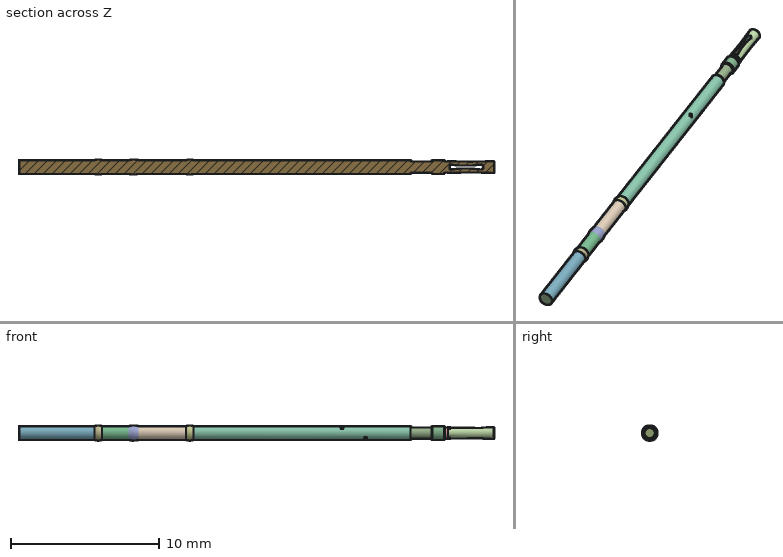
import cadquery as cq

TOTAL_LENGTH = 32.05
BARREL_END = 26.4
COLLAR_START = 27.8
COLLAR_END = 28.7
FORK_START = 28.92

BARREL_DIAMETER = 0.94
COLLAR_DIAMETER = 0.95
NECK_DIAMETER = 0.77
FORK_END_DIAMETER = 0.82
FORK_WAIST_DIAMETER = 0.75
CRIMP_DIAMETER = 1.05

COLLAR_CHAMFER = 0.06
TIP_CHAMFER = 0.06

CRIMP_RINGS = [(5.34, 0.48), (7.73, 0.7), (11.51, 0.48)]

VENTS = [(21.77, 1), (23.36, -1)]
VENT_DIAMETER = 0.2
VENT_DEPTH = 0.2
VENT_Y = -0.22

SLOT_START = 29.05
SLOT_END = 31.3
SLOT_WIDTH = 0.32
SLOT_PINCH_WIDTH = 0.16


def cylinder(start, end, diameter):
    """Cylinder along X between two stations."""
    return cq.Workplane("YZ", origin=(start, 0, 0)).circle(diameter / 2).extrude(end - start)


def make_crimp_ring(centre, width):
    """Ring with a crowned (arc) profile standing proud of the barrel."""
    barrel_radius = BARREL_DIAMETER / 2
    start = centre - width / 2
    end = centre + width / 2
    return (
        cq.Workplane("XZ")
        .moveTo(start, 0)
        .lineTo(start, barrel_radius)
        .threePointArc((centre, CRIMP_DIAMETER / 2), (end, barrel_radius))
        .lineTo(end, 0)
        .close()
        .revolve(360, (0, 0, 0), (1, 0, 0))
    )


def make_barrel():
    """Barrel with its crimp rings and vent holes."""
    barrel = cylinder(0, BARREL_END, BARREL_DIAMETER)
    for centre, width in CRIMP_RINGS:
        barrel = barrel.union(make_crimp_ring(centre, width))
    for vent_x, side in VENTS:
        barrel = barrel.cut(make_vent(vent_x, side))
    return barrel


def make_vent(vent_x, side):
    """Small blind hole drilled vertically into the top or bottom of the barrel."""
    return (
        cq.Workplane("XY", origin=(vent_x, VENT_Y, side * BARREL_DIAMETER / 2))
        .circle(VENT_DIAMETER / 2)
        .extrude(-side * VENT_DEPTH)
    )


def make_neck():
    """Neck between barrel and collar, flared by a fillet at both ends."""
    neck_radius = NECK_DIAMETER / 2
    barrel_fillet = BARREL_DIAMETER / 2 - neck_radius
    collar_fillet = COLLAR_DIAMETER / 2 - COLLAR_CHAMFER - neck_radius
    return (
        cq.Workplane("XZ")
        .moveTo(BARREL_END, 0)
        .lineTo(BARREL_END, neck_radius + barrel_fillet)
        .radiusArc((BARREL_END + barrel_fillet, neck_radius), -barrel_fillet)
        .lineTo(COLLAR_START - collar_fillet, neck_radius)
        .radiusArc((COLLAR_START, neck_radius + collar_fillet), -collar_fillet)
        .lineTo(COLLAR_START, 0)
        .close()
        .revolve(360, (0, 0, 0), (1, 0, 0))
    )


def make_collar():
    """Collar with chamfered ends and the groove between it and the fork."""
    collar = cylinder(COLLAR_START, COLLAR_END, COLLAR_DIAMETER).faces("<X or >X").chamfer(COLLAR_CHAMFER)
    groove_core = cylinder(COLLAR_END, FORK_START, NECK_DIAMETER)
    return collar.union(groove_core)


def make_fork():
    """Waisted round fork with a chamfered tip and a slot through its full height."""
    end_radius = FORK_END_DIAMETER / 2
    chamfer_start = TOTAL_LENGTH - TIP_CHAMFER
    waist_x = (FORK_START + chamfer_start) / 2
    fork = (
        cq.Workplane("XZ")
        .moveTo(FORK_START, 0)
        .lineTo(FORK_START, end_radius)
        .threePointArc((waist_x, FORK_WAIST_DIAMETER / 2), (chamfer_start, end_radius))
        .lineTo(TOTAL_LENGTH, end_radius - TIP_CHAMFER)
        .lineTo(TOTAL_LENGTH, 0)
        .close()
        .revolve(360, (0, 0, 0), (1, 0, 0))
    )
    return fork.cut(make_slot())


def make_slot():
    """Slot cutter with sides that curve in towards mid-length and a rounded tip end."""
    half_width = SLOT_WIDTH / 2
    half_pinch = SLOT_PINCH_WIDTH / 2
    round_start = SLOT_END - half_width
    pinch_x = (SLOT_START + round_start) / 2
    return (
        cq.Workplane("XY")
        .moveTo(SLOT_START, -half_width)
        .threePointArc((pinch_x, -half_pinch), (round_start, -half_width))
        .threePointArc((SLOT_END, 0), (round_start, half_width))
        .threePointArc((pinch_x, half_pinch), (SLOT_START, half_width))
        .close()
        .extrude(FORK_END_DIAMETER, both=True)
    )


result = make_barrel().union(make_neck()).union(make_collar()).union(make_fork())